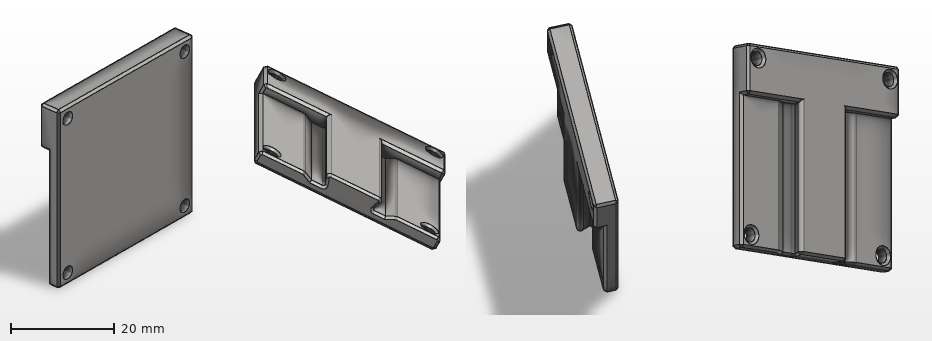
import cadquery as cq
import math

thickness = 4.9
width = 39.8
height = 39.9
outer_chamfer = 0.5

recess_depth = 2.0
ceiling_z = 29.92
recess_chamfer = 0.6
lower_overlap = 2.0

rib_half_width = 6.0
rib_edge_radius = 0.7
rib_edge_depth = 1.25
neck_offset = 0.05
neck_fillet = 0.4

groove_depth = 2.95
groove_floor_end = 8.1
groove_slope_end = 10.05
groove_lip_chamfer = 0.15

hole_diameter = 2.8
countersink_diameter = 3.87
hole_pitch = 34.47


def half_profile():
    """Closed X-Y section of the lower plate on the +Y side."""
    half_width = width / 2
    arc_center_y = rib_half_width - rib_edge_radius
    arc_end_y = arc_center_y + math.sqrt(
        rib_edge_radius**2 - (rib_edge_depth - rib_edge_radius) ** 2
    )
    neck_y = arc_center_y + neck_offset
    fillet_mid = neck_fillet * (1 - math.sqrt(0.5))
    return (
        cq.Workplane("XY")
        .lineTo(0, arc_center_y)
        .threePointArc((rib_edge_radius, rib_half_width), (rib_edge_depth, arc_end_y))
        .lineTo(groove_depth - neck_fillet, neck_y)
        .threePointArc(
            (groove_depth - fillet_mid, neck_y + fillet_mid),
            (groove_depth, neck_y + neck_fillet),
        )
        .lineTo(groove_depth, groove_floor_end)
        .lineTo(recess_depth, groove_slope_end)
        .lineTo(recess_depth, half_width - recess_chamfer)
        .lineTo(recess_depth + recess_chamfer, half_width)
        .lineTo(thickness - outer_chamfer, half_width)
        .lineTo(thickness, half_width - outer_chamfer)
        .lineTo(thickness, 0)
        .close()
    )


def lower_plate():
    """Grooved plate with its bottom rim chamfered all along the section."""
    half = half_profile().extrude(ceiling_z + lower_overlap)
    lip = cq.selectors.NearestToPointSelector((recess_depth, groove_slope_end, ceiling_z / 2))
    half = half.edges("|Z").edges(lip).chamfer(groove_lip_chamfer)
    plate = half.union(half.mirror("XZ")).clean()
    return plate.faces("<Z").chamfer(outer_chamfer)


def head_block():
    """Full-thickness block across the top, overhanging the recesses."""
    block = cq.Workplane("XY").box(
        thickness, width, height - ceiling_z, centered=(False, True, False)
    ).translate((0, 0, ceiling_z))
    block = block.edges("not <Z").chamfer(outer_chamfer)
    return block.faces("<Z").edges("not >X").chamfer(recess_chamfer)


def corner_holes():
    """Cutters for the four holes, countersunk from the X = 0 face or the recess floor."""
    countersink_depth = (countersink_diameter - hole_diameter) / 2
    cutters = cq.Workplane("XY")
    for side in (-1, 1):
        for level, entry_x in ((-1, recess_depth), (1, 0)):
            sink_x = entry_x + countersink_depth
            cutter = (
                cq.Workplane("XY")
                .moveTo(entry_x, 0)
                .lineTo(entry_x, countersink_diameter / 2)
                .lineTo(sink_x, hole_diameter / 2)
                .lineTo(thickness, hole_diameter / 2)
                .lineTo(thickness, 0)
                .close()
                .revolve(360, (0, 0, 0), (1, 0, 0))
            )
            cutters = cutters.add(
                cutter.translate((0, side * hole_pitch / 2, height / 2 + level * hole_pitch / 2))
            )
    return cutters.combine()


result = lower_plate().union(head_block()).cut(corner_holes())